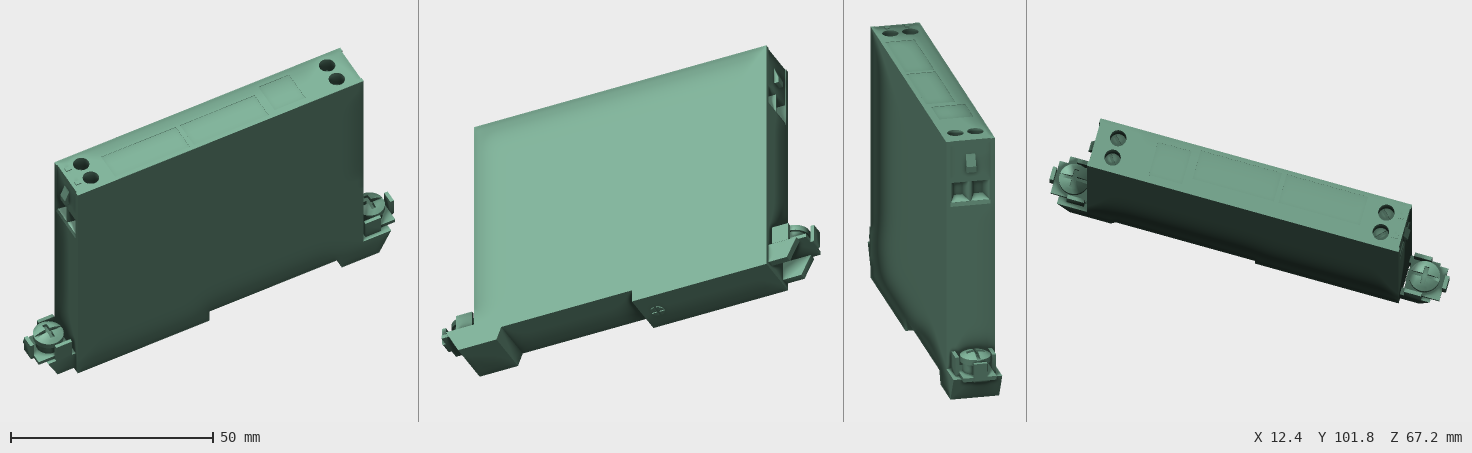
import cadquery as cq
import math

housing_width = 12.38
housing_length = 80.1
relief_height = 0.254
overall_height = 67.25
housing_height = overall_height - 2 * relief_height
housing_end = housing_length / 2

notch_depth = 3.4
notch_front = -3.2
notch_back_top = 32.6
notch_back_bottom = 33.9

overall_length = 101.85
clamp_end = overall_length / 2
foot_top = 6.5
foot_reach = 47.75
back_foot_toe = 44.4
front_foot_toe = 45.1
front_foot_bottom = 1.25
rib_outer = 5.1
rib_thickness = 1.85

panel_width = 10.16
panel_depth = 0.254
panel_bottom = 49.45
panel_sill_height = 1.0
terminal_pitch = 5.08
terminal_sides = (-1, 1)

funnel_width = 4.65
funnel_height = 5.2
funnel_center_height = 53.1
throat_width = 2.25
throat_height = 3.3
funnel_depth = 2.5

catch_width = 2.4
catch_bottom = 58.5
catch_shoulder = 60.0
catch_top = 63.0
catch_reach = 0.95

screw_hole_diameter = 4.06
screw_hole_depth = 5.0
screw_diameter = 3.56
screw_height = 1.0
screw_slot_width = 0.7
screw_slot_depth = 0.5
screw_row = 34.45
front_slot_angles = (-45, 45)
back_slot_angles = (35, 45)

label_depth = 0.1
label_width = 7.4
label_length = 20.9
label_center_x = 1.4
label_centers_y = (3.55, -18.55)
badge_size = 8.6
badge_center_y = 20.4
mark_length = 1.5
mark_width = 1.1
mark_row = -38.1
knob_diameter = 3.56
knob_slot_width = 0.65
knob_center_y = -7.3

sheet = 1.0
plate_width = 8.4
plate_inner_end = 40.7
wing_outer = 5.15
wing_inner_end = 41.1
wing_outer_end = 45.5
wing_top = 11.45
tab_width = 3.35
tab_top = wing_top
bend_radius = 0.51
neck_width = 3.2
neck_end = 40.5
neck_fillet = 0.15

clamp_screw_center = 45.0
collar_diameter = 6.35
head_diameter = 7.62
head_bottom = 10.15
head_rim = 11.65
head_top = 12.75
drive_floor = 11.5
long_drive_width = 0.9
short_drive_width = 1.2
short_drive_length = 4.6


def block(x_range, y_range, z_range):
    """Axis-aligned box between the given limits."""
    size = [high - low for low, high in (x_range, y_range, z_range)]
    corner = (x_range[0], y_range[0], z_range[0])
    return cq.Workplane("XY").box(*size, centered=False).translate(corner)


def side_prism(points, x_low, x_high):
    """Extrude a (Y, Z) outline from x_low to x_high."""
    plane = cq.Workplane("YZ").workplane(offset=x_low)
    return plane.polyline(points).close().extrude(x_high - x_low)


def upright_cylinder(diameter, x, y, z_low, z_high):
    """Vertical cylinder between two heights."""
    plane = cq.Workplane("XY").workplane(offset=z_low)
    return plane.center(x, y).circle(diameter / 2).extrude(z_high - z_low)


def mirrored_pair(shape):
    """The shape at the +Y end together with its copy at the -Y end."""
    return shape.union(shape.mirror("XZ"))


def make_housing():
    """Housing slab with the rail notch and the full-width back foot."""
    outline = [
        (-housing_end, 0),
        (notch_front, 0),
        (notch_front, notch_depth),
        (notch_back_top, notch_depth),
        (notch_back_bottom, 0),
        (back_foot_toe, 0),
        (foot_reach, foot_top),
        (housing_end, foot_top),
        (housing_end, housing_height),
        (-housing_end, housing_height),
    ]
    return side_prism(outline, -housing_width / 2, housing_width / 2)


def make_front_foot():
    """Two tapered ribs that carry the front clamp."""
    outline = [
        (-housing_end, front_foot_bottom),
        (-front_foot_toe, front_foot_bottom),
        (-foot_reach, foot_top),
        (-housing_end, foot_top),
    ]
    rib = side_prism(outline, rib_outer - rib_thickness, rib_outer)
    return rib.union(rib.mirror("YZ"))


def make_panel_recess():
    """Shallow recess with a sloped sill at the +Y end."""
    panel_face = housing_end - panel_depth
    outline = [
        (housing_end, panel_bottom),
        (panel_face, panel_bottom + panel_sill_height),
        (panel_face, housing_height),
        (housing_end, housing_height),
    ]
    return side_prism(outline, -panel_width / 2, panel_width / 2)


def make_wire_funnels():
    """Tapered wire entries of the +Y panel."""
    funnels = cq.Workplane("XY")
    for side in terminal_sides:
        mouth = cq.Workplane("XZ", origin=(0, housing_end - panel_depth, 0))
        mouth = mouth.center(side * terminal_pitch / 2, funnel_center_height)
        funnel = (
            mouth.rect(funnel_width, funnel_height)
            .workplane(offset=funnel_depth)
            .rect(throat_width, throat_height)
            .loft(ruled=True)
        )
        funnels = funnels.union(funnel)
    return funnels


def make_catch():
    """Wedge-shaped catch on the +Y panel."""
    panel_face = housing_end - panel_depth
    catch_face = housing_end + catch_reach
    outline = [
        (panel_face, catch_bottom),
        (catch_face, catch_bottom),
        (catch_face, catch_shoulder),
        (panel_face, catch_top),
    ]
    return side_prism(outline, -catch_width / 2, catch_width / 2)


def make_terminal_screw_gap(x, y, slot_angle):
    """Space to remove so that a slotted screw is left standing in its hole."""
    hole_floor = housing_height - screw_hole_depth
    screw_top = hole_floor + screw_height
    hole = upright_cylinder(screw_hole_diameter, x, y, hole_floor, housing_height)
    screw = upright_cylinder(screw_diameter, x, y, hole_floor, screw_top)
    slot = (
        cq.Workplane("XY", origin=(x, y, screw_top - screw_slot_depth))
        .transformed(rotate=(0, 0, slot_angle))
        .rect(screw_diameter, screw_slot_width)
        .extrude(screw_slot_depth)
    )
    return hole.cut(screw.cut(slot))


def make_terminal_screw_gaps():
    """Two screw holes at each end, with the screw slots turned as listed."""
    gaps = cq.Workplane("XY")
    for y, slot_angles in ((-screw_row, front_slot_angles), (screw_row, back_slot_angles)):
        for side, slot_angle in zip(terminal_sides, slot_angles):
            gaps = gaps.union(make_terminal_screw_gap(side * terminal_pitch / 2, y, slot_angle))
    return gaps


def make_label_recesses():
    """Shallow rectangular seats for two labels and a square badge."""
    seat_plane = cq.Workplane("XY", origin=(0, 0, housing_height - label_depth))
    label_centers = [(label_center_x, y) for y in label_centers_y]
    labels = seat_plane.pushPoints(label_centers).rect(label_width, label_length).extrude(label_depth)
    badge = seat_plane.center(0, badge_center_y).rect(badge_size, badge_size).extrude(label_depth)
    return labels.union(badge)


def make_terminal_marks():
    """Raised pads beside the front terminal screws."""
    centers = [(side * terminal_pitch / 2, mark_row) for side in terminal_sides]
    top_plane = cq.Workplane("XY", origin=(0, 0, housing_height))
    return top_plane.pushPoints(centers).rect(mark_width, mark_length).extrude(relief_height)


def make_underside_knob():
    """Low disc under the housing, split by a cross slot."""
    disc = upright_cylinder(knob_diameter, 0, knob_center_y, -relief_height, 0)
    slot_plane = cq.Workplane("XY", origin=(0, knob_center_y, -relief_height))
    along_x = slot_plane.rect(knob_diameter, knob_slot_width).extrude(relief_height)
    along_y = slot_plane.rect(knob_slot_width, knob_diameter).extrude(relief_height)
    return disc.cut(along_x).cut(along_y)


def make_clamp_plate():
    """Bent sheet of the +Y clamp: base, neck, two wings and the end tab."""
    plate_top = foot_top + sheet
    tab_inner = clamp_end - sheet
    half_plate = plate_width / 2
    base = block((-half_plate, half_plate), (plate_inner_end, tab_inner), (foot_top, plate_top))
    neck = block(
        (-neck_width / 2, neck_width / 2), (neck_end, plate_inner_end), (foot_top, plate_top)
    ).edges(">Z and <Y").fillet(neck_fillet)
    wing = block((half_plate, wing_outer), (wing_inner_end, wing_outer_end), (foot_top, wing_top))
    tab = block(
        (-tab_width / 2, tab_width / 2), (tab_inner, clamp_end), (foot_top, tab_top)
    ).edges("<Z and >Y").fillet(bend_radius)
    return base.union(neck).union(wing).union(wing.mirror("YZ")).union(tab)


def make_clamp_screw():
    """Domed screw with collar and an unequal cross drive at the +Y end."""
    head_radius = head_diameter / 2
    dome_height = head_top - head_rim
    dome_radius = (head_radius**2 + dome_height**2) / (2 * dome_height)
    half_angle = math.asin(head_radius / dome_radius) / 2
    dome_middle = (
        dome_radius * math.sin(half_angle),
        head_top - dome_radius * (1 - math.cos(half_angle)),
    )
    head = (
        cq.Workplane("XZ")
        .moveTo(0, head_bottom)
        .lineTo(head_radius, head_bottom)
        .lineTo(head_radius, head_rim)
        .threePointArc(dome_middle, (0, head_top))
        .close()
        .revolve(360, (0, 0, 0), (0, 1, 0))
    )
    drive_plane = cq.Workplane("XY", origin=(0, 0, drive_floor))
    drive_depth = head_top - drive_floor
    long_drive = drive_plane.rect(long_drive_width, head_diameter).extrude(drive_depth)
    short_drive = drive_plane.rect(short_drive_length, short_drive_width).extrude(drive_depth)
    collar = upright_cylinder(collar_diameter, 0, 0, foot_top + sheet, head_bottom)
    screw = head.cut(long_drive).cut(short_drive).union(collar)
    return screw.translate((0, clamp_screw_center, 0))


housing = make_housing().union(make_front_foot())
housing = housing.cut(mirrored_pair(make_panel_recess()))
housing = housing.cut(mirrored_pair(make_wire_funnels()))
housing = housing.cut(make_terminal_screw_gaps())
housing = housing.cut(make_label_recesses())
housing = housing.union(mirrored_pair(make_catch()))
housing = housing.union(make_terminal_marks()).union(make_underside_knob())

clamp = make_clamp_plate().union(make_clamp_screw())
result = housing.union(mirrored_pair(clamp))